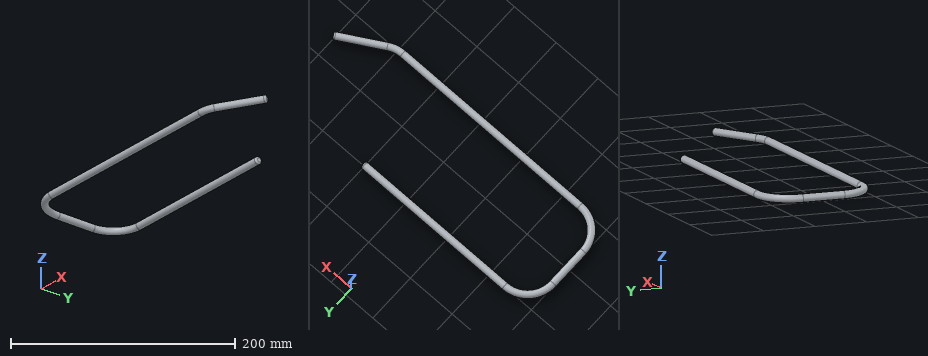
import cadquery as cq
import math

overall_length = 305.3
overall_width = 108.0
rod_diameter = 8.0
corner_radius = 30.0
tail_bend_radius = 30.0
tail_angle = math.radians(30)
short_leg_end = 204.0
tail_bend_x = 246.0
end_rounding = 1.98

rod_radius = rod_diameter / 2

near_x = rod_radius
near_y = rod_radius
far_y = overall_width - rod_radius
corner_x = near_x + corner_radius
corner_mid = corner_radius * (1 - math.sqrt(0.5))

tail_tip_x = overall_length - (rod_radius - end_rounding) * math.sin(tail_angle)
tail_tip_x -= end_rounding * (1 - math.cos(tail_angle))
tail_start_x = tail_bend_x + tail_bend_radius * math.sin(tail_angle)
tail_start_y = near_y + tail_bend_radius * (1 - math.cos(tail_angle))
tail_tip_y = tail_start_y + (tail_tip_x - tail_start_x) * math.tan(tail_angle)
tail_bend_mid = (
    tail_bend_x + tail_bend_radius * math.sin(tail_angle / 2),
    near_y + tail_bend_radius * (1 - math.cos(tail_angle / 2)),
)

centreline = (
    cq.Workplane("XY")
    .moveTo(short_leg_end, far_y)
    .lineTo(corner_x, far_y)
    .threePointArc((near_x + corner_mid, far_y - corner_mid), (near_x, far_y - corner_radius))
    .lineTo(near_x, near_y + corner_radius)
    .threePointArc((near_x + corner_mid, near_y + corner_mid), (corner_x, near_y))
    .lineTo(tail_bend_x, near_y)
    .threePointArc(tail_bend_mid, (tail_start_x, tail_start_y))
    .lineTo(tail_tip_x, tail_tip_y)
)

rod = (
    cq.Workplane("YZ", origin=(short_leg_end, far_y, 0))
    .circle(rod_radius)
    .sweep(centreline)
)

result = rod.faces("%PLANE").edges().fillet(end_rounding)